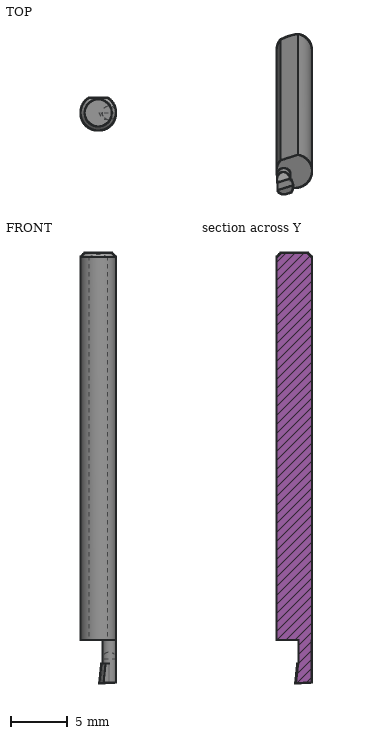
import cadquery as cq

total_length = 38.1
shank_diameter = 3.15
shank_radius = shank_diameter / 2
depth_across_flat = 2.95
flat_y = depth_across_flat - shank_radius
shank_bottom = 3.85
chamfer = 0.4

neck_radius = 0.6
neck_x = shank_radius - neck_radius

rake_face_top = 2.17

tooth_height = 1.8
tooth_lean = 0.2
tip_x = 0.08
land_x = 0.25
land_depth = 0.4
heel_x = 0.45

clearance_angle_x = 3.0
clearance_angle_y = 4.0


def make_shank():
    shank = (
        cq.Workplane("XY", origin=(0, 0, shank_bottom))
        .circle(shank_radius)
        .extrude(total_length - shank_bottom)
        .faces(">Z")
        .chamfer(chamfer)
    )
    flat_cutter = cq.Workplane("XY").box(
        shank_diameter, shank_diameter, total_length, centered=(True, False, False)
    )
    return shank.cut(flat_cutter.translate((0, flat_y, 0)))


def make_neck():
    neck = cq.Workplane("XY").center(neck_x, 0).circle(neck_radius).extrude(shank_bottom)
    runout_y = 2 * neck_radius
    rake_cutter = (
        cq.Workplane("YZ")
        .polyline([(0, 0), (runout_y, 0), (runout_y, rake_face_top + runout_y), (0, rake_face_top)])
        .close()
        .extrude(shank_diameter)
    )
    return neck.cut(rake_cutter)


def tooth_outline(shift):
    """Tooth section points, with the relieved side moved by shift along X."""
    return [
        (tip_x + shift, 0),
        (land_x + shift, -land_depth),
        (heel_x + shift, -neck_radius),
        (neck_x, -neck_radius),
        (neck_x, 0),
    ]


def make_tooth():
    return (
        cq.Workplane("XY")
        .polyline(tooth_outline(0))
        .close()
        .workplane(offset=tooth_height)
        .polyline(tooth_outline(tooth_lean))
        .close()
        .loft(ruled=True)
    )


def make_end_cutter():
    """Block below the tilted end face, which passes through the tip."""
    block = cq.Workplane("XY").box(
        2 * shank_diameter, 2 * shank_diameter, shank_diameter, centered=(True, True, False)
    )
    return (
        block.translate((0, 0, -shank_diameter))
        .rotate((0, 0, 0), (0, 1, 0), -clearance_angle_x)
        .rotate((0, 0, 0), (1, 0, 0), -clearance_angle_y)
        .translate((tip_x, 0, 0))
    )


cutting_end = make_neck().union(make_tooth()).cut(make_end_cutter())
result = make_shank().union(cutting_end)